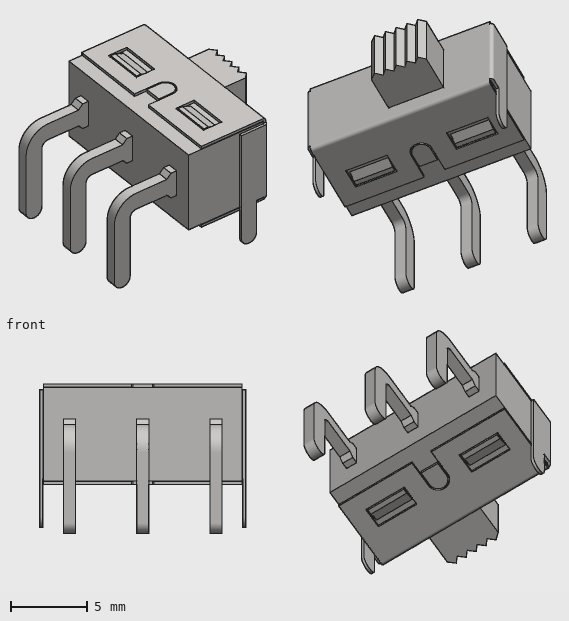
import cadquery as cq
import math


cover_width = 13.5
cover_height = 6.59
sheet = 0.2
clearance = 0.05
bend_radius = sheet + clearance
flange_depth = 5.3
tab_depth = 2.2
tab_height = 5.84
ground_leg_width = 1.25
ground_leg_tip_z = -6.1

housing_width = cover_width - 2 * (sheet + clearance)
housing_height = cover_height - 2 * (sheet + clearance)
housing_front_y = -(sheet + clearance)
housing_back_y = -6.35

window_spacing = 7.31
window_width = 3.0
window_front_y = -2.6
window_back_y = -4.1
ramp_width = 2.8
ramp_front_y = -2.98
ramp_crest_y = -3.64
ramp_back_y = -4.0

notch_width = 1.5
notch_center_y = -3.34
key_width = 1.3
key_back_y = -4.36

actuator_size = 3.99
actuator_center_x = -1.18
actuator_tip_y = 3.0
tooth_count = 5
tooth_pitch = 0.78
tooth_depth = 0.39
first_tooth_x = 0.45
valley_after_crest = 0.33

lead_count = 3
lead_pitch = 4.8
lead_thickness = 0.8
lead_width = 1.3
lead_back_y = -11.45
lead_tip_z = -6.5
lead_inner_radius = 0.5
shoulder_height = 2.01
shoulder_length = 0.46
shoulder_taper = 0.35


def box(x_size, y_front, y_back, z_bottom, z_top, x_center=0):
    """Block centred on x_center, from y_front back to y_back."""
    return (
        cq.Workplane("XY")
        .box(x_size, y_front - y_back, z_top - z_bottom)
        .translate((x_center, (y_front + y_back) / 2, (z_bottom + z_top) / 2))
    )


def bent_channel(outer_width, depth, height):
    """Sheet bent to a U: a front wall and two legs reaching back, with bends along Z."""
    outer = box(outer_width, 0, -depth, -height / 2, height / 2)
    outer = outer.edges("|Z and >Y").fillet(bend_radius)
    inner = box(outer_width - 2 * sheet, -sheet, -depth, -height / 2, height / 2)
    inner = inner.edges("|Z and >Y").fillet(bend_radius - sheet)
    return outer.cut(inner)


def arched_slot(width, y_back, height):
    """Prism along Z with a half-round front end centred at notch_center_y."""
    radius = width / 2
    return (
        cq.Workplane("XY")
        .moveTo(-radius, y_back)
        .lineTo(-radius, notch_center_y)
        .threePointArc((0, notch_center_y + radius), (radius, notch_center_y))
        .lineTo(radius, y_back)
        .close()
        .extrude(height / 2, both=True)
    )


def make_actuator():
    """Square bar from the housing front, with a row of teeth across its end."""
    left_x = actuator_center_x - actuator_size / 2
    right_x = left_x + actuator_size
    valley_y = actuator_tip_y - tooth_depth
    crests = [left_x + first_tooth_x + i * tooth_pitch for i in range(tooth_count)]
    outline = [(left_x, housing_front_y), (left_x, valley_y)]
    for crest_x in crests[:-1]:
        outline.append((crest_x, actuator_tip_y))
        outline.append((crest_x + valley_after_crest, valley_y))
    outline.append((crests[-1], actuator_tip_y))
    outline.append((right_x, valley_y))
    outline.append((right_x, housing_front_y))
    return cq.Workplane("XY").polyline(outline).close().extrude(actuator_size / 2, both=True)


def make_ground_legs():
    """Round-tipped strips hanging from the back of both side tabs."""
    radius = ground_leg_width / 2
    center_y = -tab_depth + radius
    tip_center_z = ground_leg_tip_z + radius
    outline = (
        cq.Workplane("YZ")
        .moveTo(center_y - radius, 0)
        .lineTo(center_y - radius, tip_center_z)
        .threePointArc((center_y, ground_leg_tip_z), (center_y + radius, tip_center_z))
        .lineTo(center_y + radius, 0)
        .close()
    )
    leg = outline.extrude(sheet)
    outer_x = cover_width / 2
    return leg.translate((-outer_x, 0, 0)).union(leg.translate((outer_x - sheet, 0, 0)))


def make_cover():
    flanges = bent_channel(cover_height, flange_depth, housing_width)
    flanges = flanges.rotate((0, 0, 0), (0, 1, 0), 90)
    side_tabs = bent_channel(cover_width, tab_depth, tab_height)
    cover = flanges.union(side_tabs).union(make_ground_legs())
    for side in (-1, 1):
        cover = cover.cut(
            box(
                window_width, window_front_y, window_back_y,
                -cover_height / 2, cover_height / 2, side * window_spacing / 2,
            )
        )
    cover = cover.cut(arched_slot(notch_width, -flange_depth, cover_height))
    return cover.cut(make_actuator())


def make_snap_ramps():
    """Wedges on the top and bottom of the housing, rising toward the back."""
    base_z = housing_height / 2
    crest_z = cover_height / 2
    outline = [
        (ramp_front_y, base_z),
        (ramp_crest_y, crest_z),
        (ramp_back_y, crest_z),
        (ramp_back_y, -crest_z),
        (ramp_crest_y, -crest_z),
        (ramp_front_y, -base_z),
    ]
    ramp = cq.Workplane("YZ").polyline(outline).close().extrude(ramp_width / 2, both=True)
    offset = window_spacing / 2
    return ramp.translate((-offset, 0, 0)).union(ramp.translate((offset, 0, 0)))


def make_lead(center_x):
    """Shouldered lead that runs back from the housing, bends down and ends in a round tip."""
    half = lead_width / 2
    outer_radius = lead_inner_radius + lead_width
    shoulder_end_y = housing_back_y - shoulder_length
    taper_end_y = shoulder_end_y - shoulder_taper
    inner_face_y = lead_back_y + lead_width
    bend_y = lead_back_y + outer_radius
    bend_z = half - outer_radius
    tip_center_z = lead_tip_z + half
    diagonal = math.sqrt(0.5)
    outline = (
        cq.Workplane("YZ")
        .moveTo(housing_back_y, shoulder_height / 2)
        .lineTo(shoulder_end_y, shoulder_height / 2)
        .lineTo(taper_end_y, half)
        .lineTo(bend_y, half)
        .threePointArc(
            (bend_y - diagonal * outer_radius, bend_z + diagonal * outer_radius),
            (lead_back_y, bend_z),
        )
        .lineTo(lead_back_y, tip_center_z)
        .threePointArc((lead_back_y + half, lead_tip_z), (inner_face_y, tip_center_z))
        .lineTo(inner_face_y, bend_z)
        .threePointArc(
            (bend_y - diagonal * lead_inner_radius, bend_z + diagonal * lead_inner_radius),
            (bend_y, -half),
        )
        .lineTo(taper_end_y, -half)
        .lineTo(shoulder_end_y, -shoulder_height / 2)
        .lineTo(housing_back_y, -shoulder_height / 2)
        .close()
    )
    return outline.extrude(lead_thickness / 2, both=True).translate((center_x, 0, 0))


def make_housing():
    """Housing block with its snap ramps, locating keys, actuator and leads."""
    half = housing_height / 2
    housing = box(housing_width, housing_front_y, housing_back_y, -half, half)
    housing = housing.union(make_snap_ramps())
    housing = housing.union(arched_slot(key_width, key_back_y, cover_height))
    housing = housing.union(make_actuator())
    for i in range(lead_count):
        housing = housing.union(make_lead((i - (lead_count - 1) / 2) * lead_pitch))
    return housing


cover = make_cover()
housing = make_housing()

result = cq.Compound.makeCompound([cover.solids().val(), housing.solids().val()])